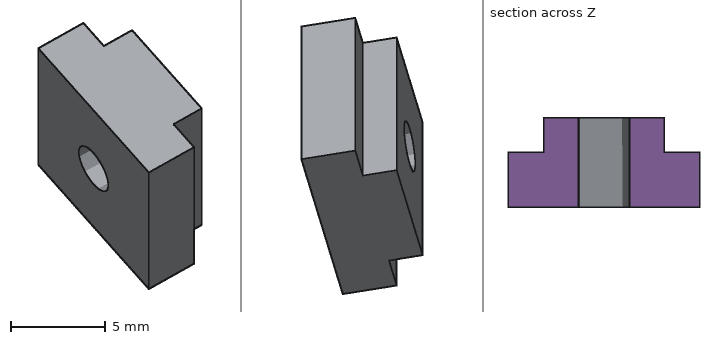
import cadquery as cq

side = 10.16
total_depth = 4.76
base_depth = 2.93
tongue_width = 6.4
hole_diameter = 2.7

tongue_depth = total_depth - base_depth


def make_base():
    """Square plate with its front face on the plane Y = 0."""
    return cq.Workplane("XY").box(side, base_depth, side, centered=(True, False, True))


def make_tongue():
    """Full-height tongue standing on the back (+Y) face of the base."""
    tongue = cq.Workplane("XY").box(tongue_width, tongue_depth, side, centered=(True, False, True))
    return tongue.translate((0, base_depth, 0))


def make_hole():
    """Central cylinder running along Y through the base and the tongue."""
    return cq.Workplane("XZ").circle(hole_diameter / 2).extrude(-total_depth)


result = make_base().union(make_tongue()).cut(make_hole())